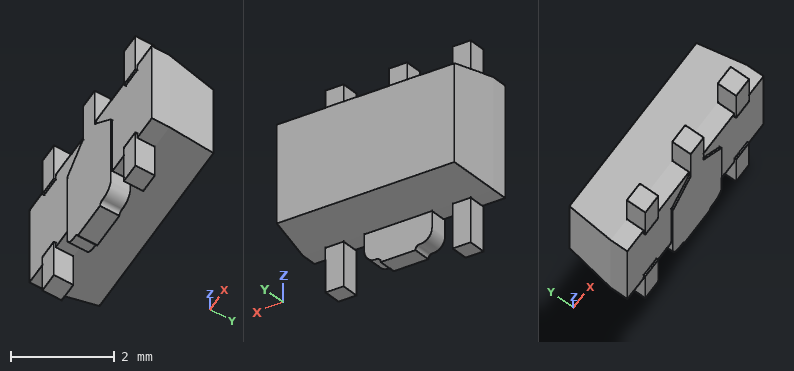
import cadquery as cq
import math

lead_span = 4.5
housing_length = 4.5
housing_height = 2.51
overall_depth = 1.54
standoff = 0.04
metal_thickness = 0.44
draft_angle = 8.0

lead_width = 0.428
lead_pitch = 1.5
lead_inner_z = 1.095

tab_width = 1.6
tab_bottom_z = -2.0
tab_corner_radius = 0.27
tip_width = 0.82
tip_height = 0.1

front_y = -overall_depth / 2
housing_front_y = front_y + standoff
parting_y = front_y + metal_thickness
back_y = overall_depth / 2
band_depth = parting_y - housing_front_y
taper_depth = back_y - parting_y


def xz_plane(y):
    """Sketch plane at the given Y, with X right, Z up and extrusion toward -Y."""
    return cq.Workplane("XZ", origin=(0, y, 0))


def make_lead(x, side):
    """One corner lead; side is +1 for the upper row and -1 for the lower row."""
    length = lead_span / 2 - lead_inner_z
    centre_z = side * (lead_inner_z + length / 2)
    return xz_plane(parting_y).center(x, centre_z).rect(lead_width, length).extrude(metal_thickness)


def make_tab():
    """Heat tab and its upper lead as one plate."""
    neck_half = lead_width / 2
    tab_half = tab_width / 2
    tip_half = tip_width / 2
    shoulder_z = lead_inner_z - (tab_half - neck_half)
    ledge_z = tab_bottom_z + tip_height
    corner_z = ledge_z + tab_corner_radius
    corner_x = tab_half - tab_corner_radius
    notch_x = tip_half + tip_height

    diagonal = math.sqrt(0.5)
    corner_mid_x = corner_x + tab_corner_radius * diagonal
    corner_mid_z = corner_z - tab_corner_radius * diagonal
    notch_mid_x = notch_x - tip_height * diagonal
    notch_mid_z = tab_bottom_z + tip_height * diagonal

    return (
        xz_plane(parting_y)
        .moveTo(-neck_half, lead_span / 2)
        .lineTo(neck_half, lead_span / 2)
        .lineTo(neck_half, lead_inner_z)
        .lineTo(tab_half, shoulder_z)
        .lineTo(tab_half, corner_z)
        .threePointArc((corner_mid_x, corner_mid_z), (corner_x, ledge_z))
        .lineTo(notch_x, ledge_z)
        .threePointArc((notch_mid_x, notch_mid_z), (tip_half, tab_bottom_z))
        .lineTo(-tip_half, tab_bottom_z)
        .threePointArc((-notch_mid_x, notch_mid_z), (-notch_x, ledge_z))
        .lineTo(-corner_x, ledge_z)
        .threePointArc((-corner_mid_x, corner_mid_z), (-tab_half, corner_z))
        .lineTo(-tab_half, shoulder_z)
        .lineTo(-neck_half, lead_inner_z)
        .close()
        .extrude(metal_thickness)
    )


def make_housing(metal_bodies):
    """Straight front band and tapered back, with a matching recess for each metal body."""
    band = xz_plane(parting_y).rect(housing_length, housing_height).extrude(band_depth)
    tapered_back = (
        xz_plane(parting_y).rect(housing_length, housing_height).extrude(-taper_depth, taper=draft_angle)
    )
    body = band.union(tapered_back)
    for metal_body in metal_bodies:
        body = body.cut(metal_body)
    return body.solids()


leads = [make_lead(x, side) for x in (-lead_pitch, lead_pitch) for side in (-1, 1)]
tab = make_tab()
housing = make_housing([tab, *leads])

result = cq.Compound.makeCompound([housing.val(), tab.val(), *[lead.val() for lead in leads]])